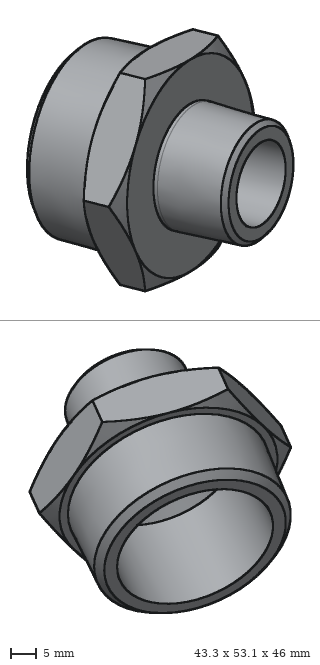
import cadquery as cq
import math

total_length = 43.3
hex_start = 16.3
hex_end = 26.4

hex_corner_diameter = 53.1
hex_flat_radius = hex_corner_diameter / 2 * math.cos(math.radians(30))
hex_chamfer_angle = 30.0

taper = 1 / 32
large_tip_radius = 20.75
large_chamfer = 1.6
small_tip_radius = 12.95
small_chamfer = 1.1
small_collar_length = 0.95

wide_bore_radius = 16.45
narrow_bore_radius = 9.0
wide_bore_depth = 21.8
cone_end = 30.3


def revolve_about_x(points):
    """Revolve a closed (x, radius) outline about the X axis."""
    return cq.Workplane("XY").polyline(points).close().revolve(360, (0, 0, 0), (1, 0, 0))


def make_large_spigot():
    taper_length = hex_start - large_chamfer
    root_radius = large_tip_radius + taper * taper_length
    return revolve_about_x([
        (0, 0),
        (0, large_tip_radius - large_chamfer),
        (large_chamfer, large_tip_radius),
        (hex_start, root_radius),
        (hex_start, 0),
    ])


def make_small_spigot():
    collar_end = hex_end + small_collar_length
    taper_end = total_length - small_chamfer
    root_radius = small_tip_radius + taper * (taper_end - collar_end)
    return revolve_about_x([
        (hex_end, 0),
        (hex_end, root_radius),
        (collar_end, root_radius),
        (taper_end, small_tip_radius),
        (total_length, small_tip_radius - small_chamfer),
        (total_length, 0),
    ])


def make_hexagon():
    prism = (
        cq.Workplane("YZ", origin=(hex_start, 0, 0))
        .polygon(6, hex_corner_diameter)
        .extrude(hex_end - hex_start)
    )
    corner_radius = hex_corner_diameter / 2
    setback = (corner_radius - hex_flat_radius) * math.tan(math.radians(hex_chamfer_angle))
    envelope = revolve_about_x([
        (hex_start, 0),
        (hex_start, hex_flat_radius),
        (hex_start + setback, corner_radius),
        (hex_end - setback, corner_radius),
        (hex_end, hex_flat_radius),
        (hex_end, 0),
    ])
    return prism.intersect(envelope)


def make_bore():
    return revolve_about_x([
        (0, 0),
        (0, wide_bore_radius),
        (wide_bore_depth, wide_bore_radius),
        (cone_end, narrow_bore_radius),
        (total_length, narrow_bore_radius),
        (total_length, 0),
    ])


body = make_large_spigot().union(make_hexagon()).union(make_small_spigot())
result = body.cut(make_bore())